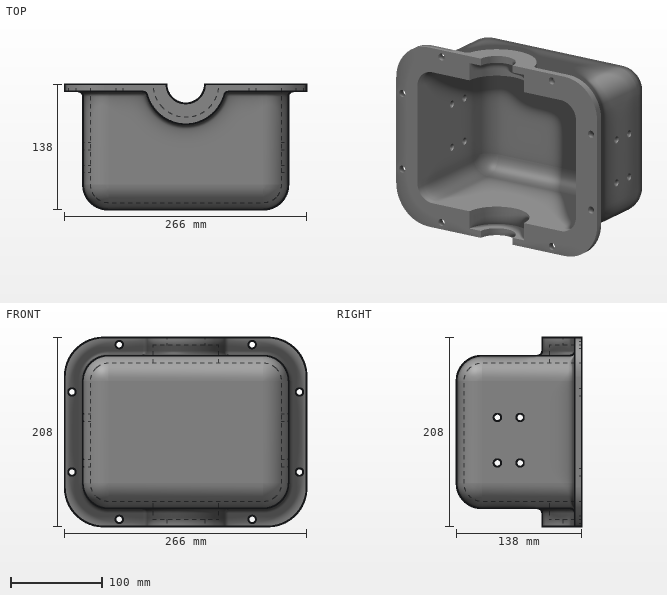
import cadquery as cq

width = 266.0
height = 208.0
depth = 138.0
wall = 8.0
flange_corner_radius = 43.0

rim = 20.0
box_width = width - 2 * rim
box_height = height - 2 * rim
box_radius = 28.0

collar_radius = 44.0
bore_radius = 21.0
blend_radius = 5.0

hole_diameter = 8.0
bolt_edge_distance = 8.0
end_bolt_x = 73.0
side_bolt_z = 44.0

side_hole_center_z = -9.0
side_hole_pitch_z = 50.0
side_hole_pitch_y = 25.0
side_hole_front_offset = 45.0


def rounded_block(block_width, block_height, block_depth, corner_radius):
    """Block with rounded corners along Y, reaching from y = 0 to y = -block_depth."""
    block = cq.Workplane("XZ").rect(block_width, block_height).extrude(block_depth)
    return block.edges("|Y").fillet(corner_radius)


def half_cylinder(radius, length):
    """Half cylinder along Z, centered on the origin, on the -Y side of the mounting face."""
    cylinder = cq.Workplane("XY").circle(radius).extrude(length / 2, both=True)
    block_size = 4 * radius
    back_block = cq.Workplane("XY").box(block_size, block_size, length).translate((0, block_size / 2, 0))
    return cylinder.cut(back_block)


def dome(dome_width, dome_height, dome_depth, radius):
    """Box with all side corners and front edges rounded to one radius."""
    return rounded_block(dome_width, dome_height, dome_depth, radius).faces("<Y").edges().fillet(radius)


def outer_body():
    """Flange, box and collars, blended where they meet on the flange's front side."""
    flange = rounded_block(width, height, wall, flange_corner_radius)
    box = dome(box_width, box_height, depth, box_radius)
    body = flange.union(box).union(half_cylinder(collar_radius, height))

    margin = 1.0
    junction_zone = cq.selectors.BoxSelector(
        (-box_width / 2 - margin, -collar_radius - margin, -height / 2 + margin),
        (box_width / 2 + margin, -wall + margin, height / 2 - margin),
    )
    return body.edges(junction_zone).fillet(blend_radius)


def cavity():
    """Hollow of the box and collars, leaving an even wall all around."""
    inner_width = box_width - 2 * wall
    inner_height = box_height - 2 * wall
    box_hollow = dome(inner_width, inner_height, depth - wall, box_radius - wall)
    collar_hollow = half_cylinder(collar_radius - wall, height - 2 * wall)
    return box_hollow.union(collar_hollow)


def flange_holes():
    """Drills for the bolt holes: two along each of the four flange sides."""
    end_bolt_z = height / 2 - bolt_edge_distance
    side_bolt_x = width / 2 - bolt_edge_distance
    points = []
    for x_sign in (-1, 1):
        for z_sign in (-1, 1):
            points.append((x_sign * end_bolt_x, z_sign * end_bolt_z))
            points.append((x_sign * side_bolt_x, z_sign * side_bolt_z))
    return cq.Workplane("XZ").pushPoints(points).circle(hole_diameter / 2).extrude(wall)


def side_holes():
    """Drills along X for the four holes through both side walls."""
    center_y = -depth + side_hole_front_offset + side_hole_pitch_y / 2
    return (
        cq.Workplane("YZ")
        .center(center_y, side_hole_center_z)
        .rarray(side_hole_pitch_y, side_hole_pitch_z, 2, 2)
        .circle(hole_diameter / 2)
        .extrude(width / 2, both=True)
    )


shaft_bore = half_cylinder(bore_radius, height)

result = (
    outer_body()
    .cut(cavity())
    .cut(shaft_bore)
    .cut(flange_holes())
    .cut(side_holes())
)